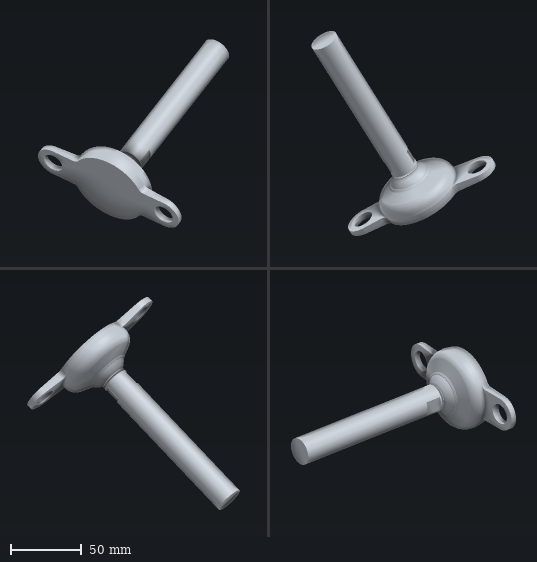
import cadquery as cq
import math


hub_radius = 29.97
hub_bottom_radius = 29.0
hub_cone_height = 5.9
hub_band_top_radius = 29.7
hub_band_top = 8.7
shoulder_radius = 25.6
shoulder_height = 15.5
lip_bottom_radius = 16.7
lip_bottom_height = 19.8
lip_top_radius = 15.4
lip_top_height = 21.0

overall_length = 116.0
lug_width = 25.0
lug_tip_thickness = 4.0
lug_hole_diameter = 15.1
lug_fillet = 4.7
lug_hole_offset = (overall_length - lug_width) / 2

ball_radius = 18.5
ball_center_height = 10.0
socket_floor = hub_band_top

stem_top = 148.0
stem_radius = 9.99
neck_radius = 9.0
groove_radius = 8.3
groove_bottom = 27.1
groove_top = 28.5
flat_bottom = 29.7
flat_length = 11.8
across_flats = 17.0

def ball_radius_at(height):
    return math.sqrt(ball_radius**2 - (height - ball_center_height) ** 2)

neck_height = ball_center_height + math.sqrt(ball_radius**2 - neck_radius**2)

def revolve_about_y(profile):
    return profile.close().revolve(360, (0, 0, 0), (0, 1, 0))

def extrude_up(sketch, height):
    """Extrude a sketch on the XZ plane toward +Y."""
    return sketch.extrude(-height)

def make_lugged_plate():
    """Tapered hub bottom with two lugs, blended at the four inside corners."""
    cone = revolve_about_y(
        cq.Workplane("XY")
        .lineTo(hub_bottom_radius, 0)
        .lineTo(hub_radius, hub_cone_height)
        .lineTo(0, hub_cone_height)
    )
    lugs = extrude_up(cq.Workplane("XZ").slot2D(overall_length, lug_width), hub_cone_height)
    plate = cone.union(lugs)

    corner_x = math.sqrt(hub_radius**2 - (lug_width / 2) ** 2)
    reach = 1.5
    for side_x in (-1, 1):
        for side_z in (-1, 1):
            x = side_x * corner_x
            z = side_z * lug_width / 2
            corner = cq.selectors.BoxSelector(
                (x - reach, 0, z - reach), (x + reach, hub_cone_height, z + reach)
            )
            plate = plate.edges(corner).fillet(lug_fillet)

    tip_x = overall_length / 2
    side_profile = [
        (-tip_x, 0),
        (tip_x, 0),
        (tip_x, lug_tip_thickness),
        (hub_radius, hub_cone_height),
        (-hub_radius, hub_cone_height),
        (-tip_x, lug_tip_thickness),
    ]
    slope_envelope = cq.Workplane("XY").polyline(side_profile).close().extrude(hub_radius, both=True)
    plate = plate.intersect(slope_envelope)

    holes = extrude_up(
        cq.Workplane("XZ")
        .pushPoints([(-lug_hole_offset, 0), (lug_hole_offset, 0)])
        .circle(lug_hole_diameter / 2),
        hub_cone_height,
    )
    return plate.cut(holes)

def make_upper_hub():
    """Rounded shoulder rising to the lip of the ball socket."""
    return revolve_about_y(
        cq.Workplane("XY")
        .moveTo(0, hub_cone_height)
        .lineTo(hub_radius, hub_cone_height)
        .lineTo(hub_band_top_radius, hub_band_top)
        .tangentArcPoint((shoulder_radius, shoulder_height), relative=False)
        .lineTo(lip_bottom_radius, lip_bottom_height)
        .lineTo(lip_top_radius, lip_top_height)
        .lineTo(0, lip_top_height)
    )

def make_ball():
    """Ball truncated flat at the socket floor."""
    ball_top = ball_center_height + ball_radius
    floor_radius = ball_radius_at(socket_floor)
    return revolve_about_y(
        cq.Workplane("XY")
        .moveTo(0, socket_floor)
        .lineTo(floor_radius, socket_floor)
        .threePointArc((ball_radius_at(lip_top_height), lip_top_height), (0, ball_top))
    )

def make_base():
    return make_lugged_plate().union(make_upper_hub()).cut(make_ball()).solids()

def make_stem():
    """Shaft with a V groove and two wrench flats, standing on the ball."""
    groove_middle = (groove_bottom + groove_top) / 2
    shaft = revolve_about_y(
        cq.Workplane("XY")
        .moveTo(0, socket_floor)
        .lineTo(ball_radius_at(socket_floor), socket_floor)
        .threePointArc((ball_radius_at(lip_top_height), lip_top_height), (neck_radius, neck_height))
        .lineTo(stem_radius, groove_bottom)
        .lineTo(groove_radius, groove_middle)
        .lineTo(stem_radius, groove_top)
        .lineTo(stem_radius, stem_top)
        .lineTo(0, stem_top)
    )
    flat_depth = stem_radius - across_flats / 2
    flat_center_x = (across_flats + flat_depth) / 2
    flat_cutters = (
        cq.Workplane("XY")
        .pushPoints([(side * flat_center_x, flat_bottom + flat_length / 2) for side in (-1, 1)])
        .rect(flat_depth, flat_length)
        .extrude(stem_radius, both=True)
    )
    return shaft.cut(flat_cutters).solids()

base = make_base()
stem = make_stem()

result = cq.Compound.makeCompound([base.val(), stem.val()])